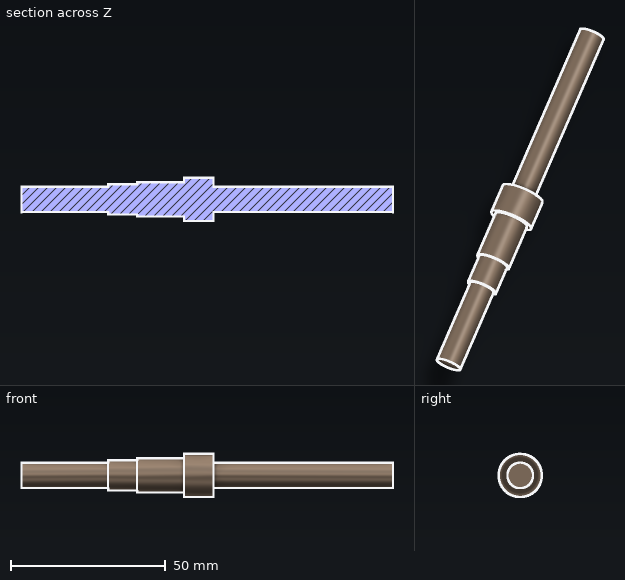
import cadquery as cq

total_length = 120.0
rod_diameter = 8.3
sleeve_diameter = 9.8
body_diameter = 11.2
collar_diameter = 14.0

sleeve_start = 28.0
body_start = 37.3
collar_start = 52.5
collar_length = 9.6


def cylinder_along_x(diameter, start, length):
    """Solid cylinder on the X axis, beginning at the given X position."""
    return cq.Workplane("YZ", origin=(start, 0, 0)).circle(diameter / 2).extrude(length)


rod = cylinder_along_x(rod_diameter, 0, total_length)

sleeve = cylinder_along_x(sleeve_diameter, sleeve_start, body_start - sleeve_start)
body = cylinder_along_x(body_diameter, body_start, collar_start - body_start)
collar = cylinder_along_x(collar_diameter, collar_start, collar_length)

result = rod.union(sleeve).union(body).union(collar)